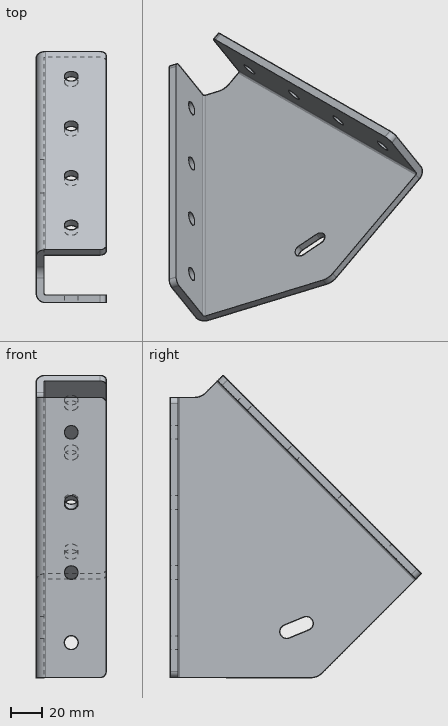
import cadquery as cq
import math

sheet = 5.0
width = 45.0
flange_length = 180.0
apex_gap = 48.1
bend_outer_radius = 6.0
bend_inner_radius = bend_outer_radius - sheet
half_angle = math.radians(45 / 2)
apex_height = flange_length + apex_gap

web_corner_radius = 10.0
web_corner_drop = 0.08
flange_corner_radius = 4.0

hole_diameter = 8.7
hole_count = 4
hole_pitch = flange_length / hole_count

slot_width = 8.7
slot_spacing = 13.5
slot_height = 32.2


def along_flange(distance, depth):
    """(Y, Z) of a point on the sloping flange: distance from the apex, depth below the outer face."""
    full_angle = 2 * half_angle
    y = distance * math.sin(full_angle) - depth * math.cos(full_angle)
    z = apex_height - distance * math.cos(full_angle) - depth * math.sin(full_angle)
    return y, z


def on_bisector(height):
    return (apex_height - height) * math.tan(half_angle), height


def make_web():
    """Flat web between the two bends, with the notch and the far corner rounded."""
    far_corner = on_bisector(-web_corner_drop)
    notch_corner = on_bisector(flange_length)
    outline = [
        (bend_outer_radius, 0),
        far_corner,
        along_flange(apex_height, bend_outer_radius),
        along_flange(apex_gap, bend_outer_radius),
        notch_corner,
        (bend_outer_radius, flange_length),
    ]
    web = cq.Workplane("YZ").polyline(outline).close().extrude(sheet)
    for y, z in (far_corner, notch_corner):
        corner = cq.selectors.NearestToPointSelector((sheet / 2, y, z))
        web = web.edges("|X").edges(corner).fillet(web_corner_radius)
    slot = (
        cq.Workplane("YZ")
        .center(*on_bisector(slot_height))
        .transformed(rotate=(0, 0, math.degrees(half_angle)))
        .slot2D(slot_spacing + slot_width, slot_width)
        .extrude(sheet)
    )
    return web.cut(slot)


def make_flange():
    """Upright flange with its bend, rounded free corners and a row of holes."""
    flange = (
        cq.Workplane("XY")
        .moveTo(width, 0)
        .lineTo(bend_outer_radius, 0)
        .radiusArc((0, bend_outer_radius), bend_outer_radius)
        .lineTo(sheet, bend_outer_radius)
        .radiusArc((bend_outer_radius, sheet), -bend_inner_radius)
        .lineTo(width, sheet)
        .close()
        .extrude(flange_length)
    )
    flange = flange.faces(">X").edges("|Y").fillet(flange_corner_radius)
    centres = [(width / 2, (i + 0.5) * hole_pitch) for i in range(hole_count)]
    holes = cq.Workplane("XZ").pushPoints(centres).circle(hole_diameter / 2).extrude(-sheet)
    return flange.cut(holes)


upright_flange = make_flange()
sloping_flange = upright_flange.mirror(
    cq.Vector(0, math.cos(half_angle), math.sin(half_angle)),
    basePointVector=(0, 0, apex_height),
)
result = make_web().union(upright_flange).union(sloping_flange)